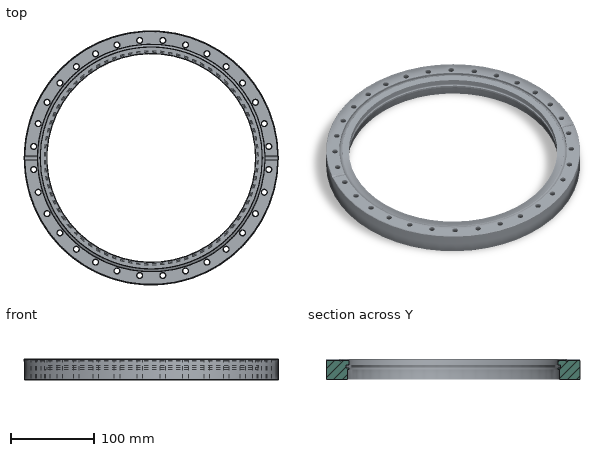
import cadquery as cq

outer_diameter = 305.0
bore_diameter = 250.5
height = 25.0

recess_diameter = 273.3
knife_diameter = 266.5
recess_depth = 2.5
knife_depth = 1.0
inner_face_depth = 1.2

edge_chamfer = 0.5

lower_bore_diameter = 254.5
lower_bore_height = 12.2
shoulder_height = 2.5
relief_diameter = 257.5
relief_height = 2.7

bolt_count = 32
bolt_circle_diameter = 283.5
bolt_hole_diameter = 6.7

leak_groove_width = 4.5
leak_groove_depth = 1.2


def make_ring():
    """Revolve the ring's cross-section, including the sealing face and relief groove."""
    bore_radius = bore_diameter / 2
    lower_bore_radius = lower_bore_diameter / 2
    outer_radius = outer_diameter / 2
    recess_radius = recess_diameter / 2
    knife_radius = knife_diameter / 2
    relief_radius = relief_diameter / 2
    relief_bottom = lower_bore_height + shoulder_height
    relief_top = relief_bottom + relief_height
    profile = [
        (lower_bore_radius, 0),
        (outer_radius - edge_chamfer, 0),
        (outer_radius, edge_chamfer),
        (outer_radius, height - edge_chamfer),
        (outer_radius - edge_chamfer, height),
        (recess_radius, height),
        (recess_radius, height - recess_depth),
        (knife_radius, height - knife_depth),
        (knife_radius, height - inner_face_depth),
        (bore_radius, height - inner_face_depth),
        (bore_radius, relief_top),
        (relief_radius, relief_top),
        (relief_radius, relief_bottom),
        (bore_radius, relief_bottom),
        (bore_radius, lower_bore_height),
        (lower_bore_radius, lower_bore_height),
    ]
    return cq.Workplane("XZ").polyline(profile).close().revolve(360, (0, 0), (0, 1))


def make_bolt_holes():
    """Through holes, with the X and Y axes midway between neighbouring holes."""
    half_pitch = 180 / bolt_count
    return (
        cq.Workplane("XY")
        .polarArray(bolt_circle_diameter / 2, half_pitch, 360, bolt_count)
        .circle(bolt_hole_diameter / 2)
        .extrude(height)
    )


def make_leak_grooves():
    """A round-bottomed cutter along X, open to both sides of the rim."""
    half_width = leak_groove_width / 2
    radius = (half_width**2 + leak_groove_depth**2) / (2 * leak_groove_depth)
    axis_height = height - leak_groove_depth + radius
    return (
        cq.Workplane("YZ")
        .center(0, axis_height)
        .circle(radius)
        .extrude(outer_diameter / 2, both=True)
    )


result = make_ring().cut(make_bolt_holes()).cut(make_leak_grooves())